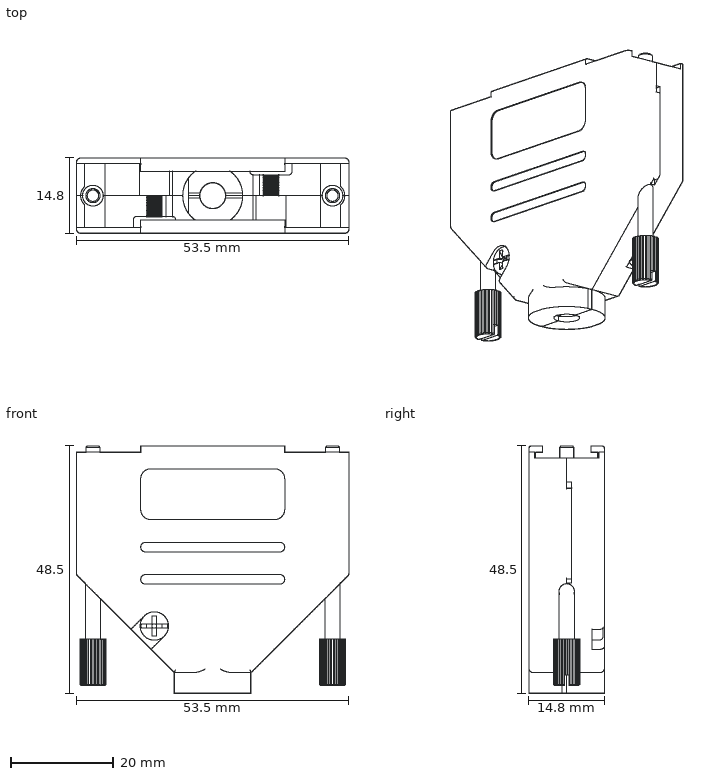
import cadquery as cq
import math

WIDTH = 53.5
DEPTH = 14.8
TOTAL_HEIGHT = 48.5
PANEL_TOP = 47.3
END_WALL_TOP = 46.15
BODY_BOTTOM = 4.05
EDGE_RADIUS = 0.9
PANEL_WALL = 1.1
END_WALL = 1.65
FLOOR_TOP = 5.45
FLOOR_HALF_WIDTH = 7.0

HALF_WIDTH = WIDTH / 2
HALF_DEPTH = DEPTH / 2
INNER_X = HALF_WIDTH - END_WALL
INNER_Y = HALF_DEPTH - PANEL_WALL

NECK_RADIUS = 7.55
NECK_TOP = 5.0
NECK_FLOOR = 1.05
BORE_RADIUS = 5.9
CABLE_RADIUS = 2.5
NECK_NOTCH_DEPTH = 0.1

PLATFORM_TOP = 10.15
PLATFORM_RADIUS = 0.9
STEP_TOP = 9.15
STEP_RADIUS = 1.3
PLATFORM_X = FLOOR_HALF_WIDTH + PLATFORM_RADIUS
STEP_X = PLATFORM_X + STEP_RADIUS

LIP_HALF_LENGTH = 14.1
LIP_REACH = 2.7
LIP_THICKNESS = 1.3
LIP_EDGE_RADIUS = 0.5
LIP_RIB = 0.2
LIP_RIB_HEIGHT = 0.85

RECESS_DEPTH = 0.25
LABEL_BOTTOM = 34.1
LABEL_HEIGHT = 9.95
LABEL_CORNER = 2.0
GRIP_WIDTH = 1.85
GRIP_HEIGHTS = (28.7, 22.35)

TONGUE_REACH = 0.95
TONGUE_WALL = 0.85
TONGUE_TOP = 40.1
GROOVE_TOP = 41.4

THUMB_X = 23.5
SHAFT_RADIUS = 1.5
TIP_RADIUS = 1.4
TIP_CHAMFER = 0.25
COLLAR_RADIUS = 2.05
COLLAR_THICKNESS = 1.7
COLLAR_CLEARANCE = 2.4
SHELF_TOP = 41.85
SHELF_THICKNESS = 1.6
SHELF_EDGE_X = 21.15
KNURL_RADIUS = 2.55
KNURL_BOTTOM = 1.55
KNURL_TOP = 10.65
KNURL_TEETH = 24
KNURL_DEPTH = 0.25
KNURL_CHAMFER = 0.2
THUMB_SLOT_WIDTH = 0.85
THUMB_SLOT_DEPTH = 2.05

SCREW_X = 11.45
SCREW_Z = 13.2
HEAD_RADIUS = 2.8
HEAD_THICKNESS = 2.15
HEAD_FILLET = 0.8
HEAD_SEAT = 2.4
CHANNEL_LENGTH = 10.7
THREAD_RADIUS = 1.55
THREAD_DEPTH = 0.15
THREAD_PITCH = 0.3
THREAD_COUNT = 26
HEAD_SLOT_WIDTH = 0.85
HEAD_SLOT_DEPTH = 0.25
CROSS_HALF_LENGTH = 1.9
CROSS_TIP = 0.3
CROSS_DEPTH = 1.05
CUP_RADIUS = 4.15
CUP_FLOOR = 0.9
CUP_FILLET = 0.65
BOSS_RADIUS = 2.95

SEAT_Y = -HALF_DEPTH + HEAD_SEAT
THREAD_LENGTH = THREAD_PITCH * THREAD_COUNT

CLAMP_GAP = 0.95
CLAMP_TOP = 4.3
PIN_RADIUS = 0.6
PIN_X = -BORE_RADIUS + PIN_RADIUS


def box(x0, x1, y0, y1, z0, z1):
    """Box between two opposite corners."""
    return cq.Workplane("XY").box(x1 - x0, y1 - y0, z1 - z0, centered=False).translate((x0, y0, z0))


def rod_z(x, radius, z0, z1):
    """Upright cylinder on the seam plane."""
    return cq.Workplane("XY", origin=(x, 0, z0)).circle(radius).extrude(z1 - z0)


def rod_y(x, z, radius, y0, y1):
    """Cylinder along Y."""
    return cq.Workplane("XZ", origin=(x, y0, z)).circle(radius).extrude(y0 - y1)


def funnel(half_width, half_floor, floor_z, top_z, y0, y1):
    """Prism along Y: upright sides, then 45 degree slopes down to a narrow floor."""
    shoulder_z = floor_z + half_width - half_floor
    return (
        cq.Workplane("XZ", origin=(0, y0, 0))
        .moveTo(-half_width, top_z)
        .lineTo(-half_width, shoulder_z)
        .lineTo(-half_floor, floor_z)
        .lineTo(half_floor, floor_z)
        .lineTo(half_width, shoulder_z)
        .lineTo(half_width, top_z)
        .close()
        .extrude(y0 - y1)
    )


def turned_half(shape):
    """The same shape turned half a turn about Z."""
    return shape.rotate((0, 0, 0), (0, 0, 1), 180)


def platform():
    """Raised platform around the bore, with a lower step on the side of the screw cup."""
    block = box(-PLATFORM_X, PLATFORM_X, -INNER_Y, 0, FLOOR_TOP, PLATFORM_TOP)
    block = block.edges("|Y and >Z").fillet(PLATFORM_RADIUS)
    step = box(-STEP_X, 0, -INNER_Y, 0, FLOOR_TOP, STEP_TOP).edges("|Y and >Z and <X").fillet(STEP_RADIUS)
    return block.union(step).intersect(body_outline())


def body_outline():
    """Block of the front half of the body, rounded only where the ends meet the slopes."""
    block = funnel(HALF_WIDTH, NECK_RADIUS, BODY_BOTTOM, PANEL_TOP, -HALF_DEPTH, 0)
    return block.edges("|Y and (<X or >X) and (not >Z)").fillet(EDGE_RADIUS)


def half_shell():
    """Front shell with its neck, hollow and open at the seam and the top."""
    rounded = body_outline().faces("<Y").edges("not(>Z)").fillet(EDGE_RADIUS)
    neck = rod_z(0, NECK_RADIUS, 0, NECK_TOP)
    neck = neck.intersect(box(-NECK_RADIUS, NECK_RADIUS, -HALF_DEPTH, 0, 0, NECK_TOP))
    hollow = funnel(INNER_X, FLOOR_HALF_WIDTH, FLOOR_TOP, TOTAL_HEIGHT, -INNER_Y, 0)
    end_wall_step = box(-HALF_WIDTH, HALF_WIDTH, -INNER_Y, 0, END_WALL_TOP, TOTAL_HEIGHT)
    bore = rod_z(0, BORE_RADIUS, NECK_FLOOR, PLATFORM_TOP)
    cable_hole = rod_z(0, CABLE_RADIUS, 0, NECK_FLOOR)
    notch_x = NECK_RADIUS - NECK_NOTCH_DEPTH
    neck_notch = box(notch_x, NECK_RADIUS, -TONGUE_REACH, 0, 0, BODY_BOTTOM)
    shell = rounded.union(neck).cut(hollow).cut(end_wall_step).union(platform())
    return shell.cut(bore).cut(cable_hole).cut(neck_notch)


def top_lip():
    """Inward lip along the top of the panel, with a small rib in the corner under it."""
    z0 = TOTAL_HEIGHT - LIP_THICKNESS
    lip = box(-LIP_HALF_LENGTH, LIP_HALF_LENGTH, -HALF_DEPTH, -HALF_DEPTH + LIP_REACH, z0, TOTAL_HEIGHT)
    lip = lip.edges("<Y and >Z").fillet(LIP_EDGE_RADIUS)
    rib = box(-LIP_HALF_LENGTH, LIP_HALF_LENGTH, -HALF_DEPTH + EDGE_RADIUS, -INNER_Y + LIP_RIB,
              z0 - LIP_RIB_HEIGHT, z0)
    return lip.union(rib)


def face_recesses():
    """Label field and two grip slots sunk into the large face."""
    length = 2 * LIP_HALF_LENGTH
    face = cq.Workplane("XZ", origin=(0, -HALF_DEPTH, 0))
    label = face.center(0, LABEL_BOTTOM + LABEL_HEIGHT / 2).rect(length, LABEL_HEIGHT).extrude(-RECESS_DEPTH)
    label = label.edges("|Y").fillet(LABEL_CORNER)
    grips = face.pushPoints([(0, z) for z in GRIP_HEIGHTS]).slot2D(length, GRIP_WIDTH).extrude(-RECESS_DEPTH)
    return label.union(grips)


def screw_shelves():
    """Two shelves that carry the thumbscrew collars."""
    z0 = SHELF_TOP - SHELF_THICKNESS
    left = box(-INNER_X, -SHELF_EDGE_X, -INNER_Y, 0, z0, SHELF_TOP)
    return left.union(left.mirror("YZ"))


def thumbscrew_clearance(x):
    """Shaft hole through shelf and slope, and room for the collar above the shelf."""
    hole = rod_z(x, SHAFT_RADIUS, 0, TOTAL_HEIGHT)
    return hole.union(rod_z(x, COLLAR_CLEARANCE, SHELF_TOP, TOTAL_HEIGHT))


def head_cup():
    """Raised pad inside the panel, behind the seat of the screw head."""
    pad = rod_y(-SCREW_X, SCREW_Z, CUP_RADIUS, -INNER_Y, SEAT_Y + CUP_FLOOR)
    pad = pad.faces(">Y").edges().fillet(CUP_FILLET)
    return pad.intersect(body_outline())


def head_pocket():
    """Round seat for the screw head, with a channel out through the slope."""
    seat = rod_y(-SCREW_X, SCREW_Z, HEAD_RADIUS, -HALF_DEPTH, SEAT_Y)
    channel = box(-CHANNEL_LENGTH, 0, -HALF_DEPTH, SEAT_Y, -HEAD_RADIUS, HEAD_RADIUS)
    channel = channel.rotate((0, 0, 0), (0, 1, 0), -45).translate((-SCREW_X, 0, SCREW_Z))
    shank_hole = rod_y(-SCREW_X, SCREW_Z, THREAD_RADIUS, SEAT_Y, 0)
    return seat.union(channel).union(shank_hole)


def threaded_boss():
    """Boss on the panel that takes the screw from the other half."""
    boss = rod_y(SCREW_X, SCREW_Z, BOSS_RADIUS, -INNER_Y, 0)
    return boss.cut(rod_y(SCREW_X, SCREW_Z, THREAD_RADIUS, -SEAT_Y - THREAD_LENGTH, 0))


def seam_tongue():
    """Tongue that crosses the seam on one end wall."""
    bar = box(HALF_WIDTH - TONGUE_WALL, HALF_WIDTH, 0, TONGUE_REACH, 0, TONGUE_TOP)
    return bar.intersect(turned_half(body_outline()))


def housing_half():
    half = half_shell().union(top_lip()).union(screw_shelves())
    half = half.union(head_cup()).union(threaded_boss())
    half = half.cut(face_recesses()).cut(head_pocket())
    for x in (-THUMB_X, THUMB_X):
        half = half.cut(thumbscrew_clearance(x))
    groove = box(-HALF_WIDTH, -INNER_X, -TONGUE_REACH, 0, 0, GROOVE_TOP)
    return half.cut(groove).union(seam_tongue())


def thumbscrew(x):
    collar_top = SHELF_TOP + COLLAR_THICKNESS
    shaft = rod_z(0, SHAFT_RADIUS, KNURL_TOP, SHELF_TOP)
    collar = rod_z(0, COLLAR_RADIUS, SHELF_TOP, collar_top)
    tip = rod_z(0, TIP_RADIUS, collar_top, TOTAL_HEIGHT).faces(">Z").chamfer(TIP_CHAMFER)
    knob = rod_z(0, KNURL_RADIUS, KNURL_BOTTOM, KNURL_TOP).faces("<Z").chamfer(KNURL_CHAMFER)
    flute_half_width = math.pi * KNURL_RADIUS / KNURL_TEETH
    flute = (
        cq.Workplane("XY", origin=(0, 0, KNURL_BOTTOM))
        .moveTo(KNURL_RADIUS - KNURL_DEPTH, 0)
        .lineTo(KNURL_RADIUS + KNURL_DEPTH, flute_half_width)
        .lineTo(KNURL_RADIUS + KNURL_DEPTH, -flute_half_width)
        .close()
        .extrude(KNURL_TOP - KNURL_BOTTOM)
    )
    for tooth in range(KNURL_TEETH):
        angle = (tooth + 0.5) * 360 / KNURL_TEETH
        knob = knob.cut(flute.rotate((0, 0, 0), (0, 0, 1), angle))
    slot = box(-KNURL_RADIUS, KNURL_RADIUS, -THUMB_SLOT_WIDTH / 2, THUMB_SLOT_WIDTH / 2,
               KNURL_BOTTOM, KNURL_BOTTOM + THUMB_SLOT_DEPTH)
    return shaft.union(collar).union(tip).union(knob.cut(slot)).translate((x, 0, 0))


def cross_arm():
    """Wedge-shaped arm of the cross recess, lying along X and narrowing to a short bottom."""
    top = SEAT_Y - HEAD_THICKNESS
    return (
        cq.Workplane("XY", origin=(0, 0, -HEAD_SLOT_WIDTH / 2))
        .moveTo(-CROSS_HALF_LENGTH, top)
        .lineTo(CROSS_HALF_LENGTH, top)
        .lineTo(CROSS_TIP, top + CROSS_DEPTH)
        .lineTo(-CROSS_TIP, top + CROSS_DEPTH)
        .close()
        .extrude(HEAD_SLOT_WIDTH)
    )


def closing_screw():
    """Screw for the front half: slotted cross head and ring-grooved thread."""
    top = SEAT_Y - HEAD_THICKNESS
    head = rod_y(0, 0, HEAD_RADIUS, top, SEAT_Y).faces("<Y").edges().fillet(HEAD_FILLET)
    half_slot = HEAD_SLOT_WIDTH / 2
    slot = box(-HEAD_RADIUS, HEAD_RADIUS, top, top + HEAD_SLOT_DEPTH, -half_slot, half_slot)
    arm = cross_arm()
    head = head.cut(slot).cut(arm).cut(arm.rotate((0, 0, 0), (0, 1, 0), 90))
    root = THREAD_RADIUS - THREAD_DEPTH
    thread = cq.Workplane("XY").moveTo(0, SEAT_Y).lineTo(root, SEAT_Y)
    for turn in range(THREAD_COUNT):
        ring_start = SEAT_Y + turn * THREAD_PITCH
        thread = thread.lineTo(THREAD_RADIUS, ring_start + THREAD_PITCH / 2)
        thread = thread.lineTo(root, ring_start + THREAD_PITCH)
    thread = thread.lineTo(0, SEAT_Y + THREAD_LENGTH).close().revolve(360, (0, 0, 0), (0, 1, 0))
    return head.union(thread).translate((-SCREW_X, 0, SCREW_Z))


def clamp_pin():
    """Pin along Y beside the cable, its ends following the bore."""
    pin = rod_y(PIN_X, CLAMP_TOP, PIN_RADIUS, -BORE_RADIUS, BORE_RADIUS)
    return pin.intersect(rod_z(0, BORE_RADIUS, 0, PLATFORM_TOP))


def cable_clamp():
    """Half disc around the cable on the front side, grooved for the pin."""
    disc = rod_z(0, BORE_RADIUS, NECK_FLOOR, CLAMP_TOP)
    disc = disc.intersect(box(-BORE_RADIUS, BORE_RADIUS, -BORE_RADIUS, -CLAMP_GAP / 2, NECK_FLOOR, CLAMP_TOP))
    return disc.cut(rod_z(0, CABLE_RADIUS, NECK_FLOOR, CLAMP_TOP))


front_half = housing_half()
back_half = turned_half(front_half)
thumbscrews = [thumbscrew(x) for x in (-THUMB_X, THUMB_X)]
front_screw = closing_screw()
closing_screws = [front_screw, turned_half(front_screw)]
pin = clamp_pin()
front_clamp = cable_clamp()
cable_clamps = [clamp.cut(pin) for clamp in (front_clamp, turned_half(front_clamp))]

result = cq.Compound.makeCompound(
    [front_half.val(), back_half.val()]
    + [screw.val() for screw in thumbscrews]
    + [screw.val() for screw in closing_screws]
    + [clamp.val() for clamp in cable_clamps]
    + [pin.val()]
)